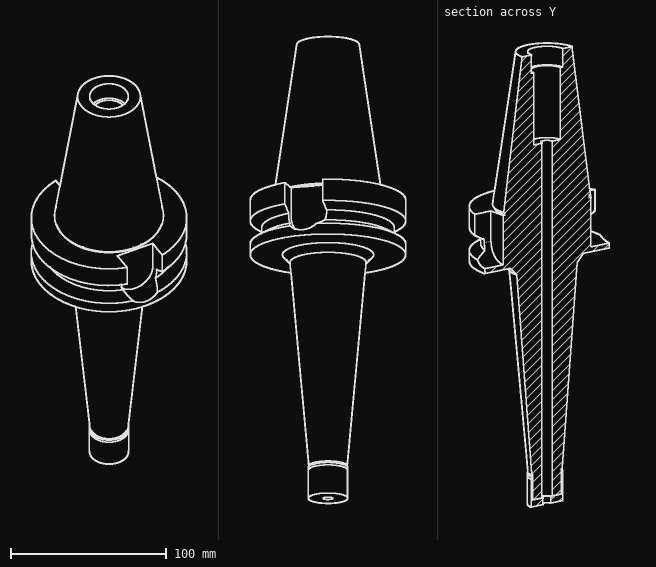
import cadquery as cq
import math

TOTAL_HEIGHT = 301.8
GAUGE_Z = 200.0
FLANGE_TOP_Z = 198.5
FLANGE_BOTTOM_Z = 162.0
GROOVE_CENTER_Z = 177.0
SHOULDER_END_Z = 157.0
NECK_END_Z = 21.5
RING_TOP_Z = 20.5
RING_BOTTOM_Z = 18.7

GAUGE_RADIUS = 35.0
TAPER_RATE = 7 / 24
TAPER_TOP_RADIUS = GAUGE_RADIUS - (TOTAL_HEIGHT - GAUGE_Z) * TAPER_RATE / 2
RELIEF_RADIUS = 34.0

FLANGE_DIAMETER = 100.0
FLANGE_RADIUS = FLANGE_DIAMETER / 2
GROOVE_RADIUS = 42.5
GROOVE_FLOOR_WIDTH = 6.5
GROOVE_FLANK_ANGLE = 30.0

SLOT_WIDTH = 25.7
SLOT_BOTTOM_Z = 165.7
SLOT_FLOOR_X = 35.3

SHOULDER_RADIUS = 29.3
NECK_TOP_RADIUS = 24.5
NECK_END_RADIUS = 12.5

NUT_RADIUS = 12.7
NOSE_RADIUS = 11.5
NOSE_BOTTOM_Z = 4.5

ENTRY_RADIUS = 12.5
ENTRY_DEPTH = 12.5
DRAWBAR_RADIUS = 10.5
DRAWBAR_DEPTH = 60.5
SHANK_RADIUS = 4.0
NUT_HOLE_RADIUS = 3.0


def bored_cylinder(radius, bore_radius, bottom_z, top_z):
    """Vertical tube between two heights."""
    return (
        cq.Workplane("XY", origin=(0, 0, bottom_z))
        .circle(radius)
        .circle(bore_radius)
        .extrude(top_z - bottom_z)
    )


def cylinder(radius, bottom_z, top_z):
    """Vertical solid cylinder between two heights."""
    return cq.Workplane("XY", origin=(0, 0, bottom_z)).circle(radius).extrude(top_z - bottom_z)


def turned_blank():
    """Taper, grooved flange, neck and nose as one revolved profile."""
    floor_half = GROOVE_FLOOR_WIDTH / 2
    flank_height = (FLANGE_RADIUS - GROOVE_RADIUS) * math.tan(math.radians(GROOVE_FLANK_ANGLE))
    mouth_half = floor_half + flank_height
    profile = [
        (0, TOTAL_HEIGHT),
        (TAPER_TOP_RADIUS, TOTAL_HEIGHT),
        (GAUGE_RADIUS, GAUGE_Z),
        (RELIEF_RADIUS, GAUGE_Z),
        (RELIEF_RADIUS, FLANGE_TOP_Z),
        (FLANGE_RADIUS, FLANGE_TOP_Z),
        (FLANGE_RADIUS, GROOVE_CENTER_Z + mouth_half),
        (GROOVE_RADIUS, GROOVE_CENTER_Z + floor_half),
        (GROOVE_RADIUS, GROOVE_CENTER_Z - floor_half),
        (FLANGE_RADIUS, GROOVE_CENTER_Z - mouth_half),
        (FLANGE_RADIUS, FLANGE_BOTTOM_Z),
        (SHOULDER_RADIUS, FLANGE_BOTTOM_Z),
        (NECK_TOP_RADIUS, SHOULDER_END_Z),
        (NECK_END_RADIUS, NECK_END_Z),
        (NOSE_RADIUS, NECK_END_Z),
        (NOSE_RADIUS, NOSE_BOTTOM_Z),
        (0, NOSE_BOTTOM_Z),
    ]
    return cq.Workplane("XZ").polyline(profile).close().revolve(360, (0, 0, 0), (0, 1, 0))


def drive_slot(side):
    """Round-bottomed slot cutter on the +X (side = 1) or -X (side = -1) edge of the flange."""
    half_width = SLOT_WIDTH / 2
    arc_center_z = SLOT_BOTTOM_Z + half_width
    cutter = (
        cq.Workplane("YZ", origin=(SLOT_FLOOR_X, 0, 0))
        .moveTo(-half_width, FLANGE_TOP_Z)
        .lineTo(-half_width, arc_center_z)
        .threePointArc((0, SLOT_BOTTOM_Z), (half_width, arc_center_z))
        .lineTo(half_width, FLANGE_TOP_Z)
        .close()
        .extrude(FLANGE_RADIUS - SLOT_FLOOR_X)
    )
    return cutter if side > 0 else cutter.mirror("YZ")


def make_holder():
    """Tool holder body with its stepped bore and two drive slots."""
    holder = turned_blank()
    for side in (1, -1):
        holder = holder.cut(drive_slot(side))
    holder = holder.cut(cylinder(ENTRY_RADIUS, TOTAL_HEIGHT - ENTRY_DEPTH, TOTAL_HEIGHT))
    holder = holder.cut(cylinder(DRAWBAR_RADIUS, TOTAL_HEIGHT - DRAWBAR_DEPTH, TOTAL_HEIGHT))
    return holder.cut(cylinder(SHANK_RADIUS, NOSE_BOTTOM_Z, TOTAL_HEIGHT))


def make_ring():
    """Thin ring around the nose, resting on the nut and clear of the neck."""
    return bored_cylinder(NUT_RADIUS, NOSE_RADIUS, RING_BOTTOM_Z, RING_TOP_Z)


def make_nut():
    """Cap nut that encloses the nose and leaves a small hole at the tip."""
    nut = bored_cylinder(NUT_RADIUS, NUT_HOLE_RADIUS, 0, RING_BOTTOM_Z)
    return nut.cut(cylinder(NOSE_RADIUS, NOSE_BOTTOM_Z, RING_BOTTOM_Z))


holder = make_holder()
ring = make_ring()
nut = make_nut()

result = cq.Compound.makeCompound([holder.val(), ring.val(), nut.val()])